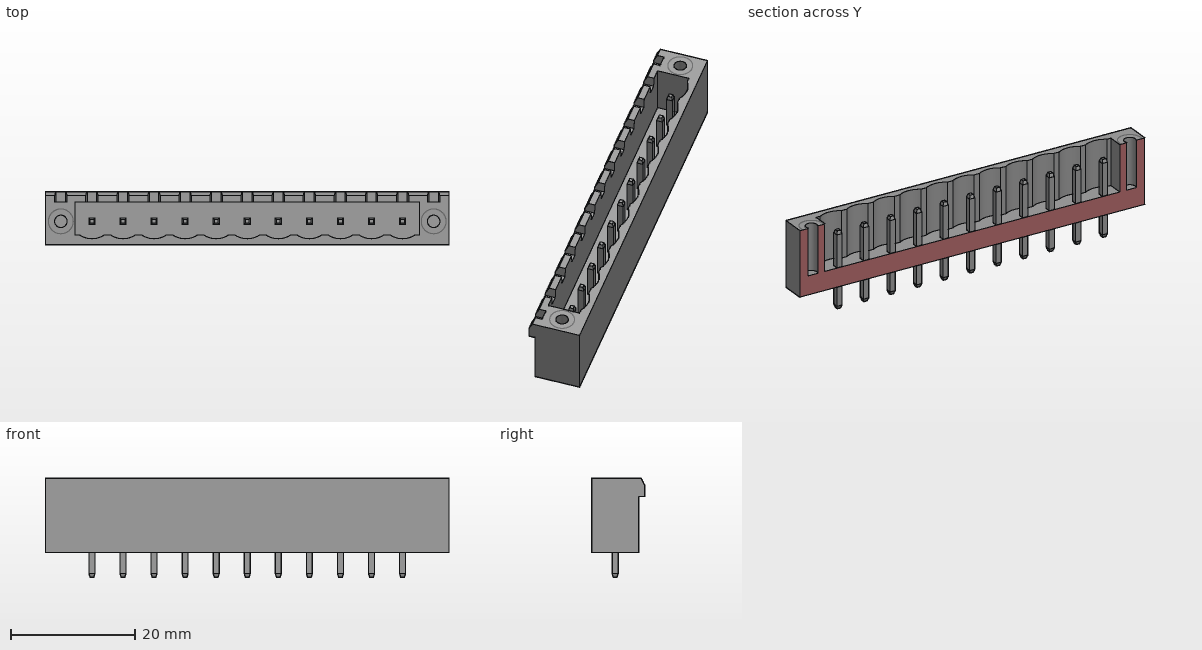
import cadquery as cq

LENGTH = 65.0
DEPTH = 7.6
HEIGHT = 12.0
FRONT_Y = -DEPTH / 2
BACK_Y = DEPTH / 2

LIP_REACH = 1.0
LIP_HEIGHT = 3.0
LIP_BEVEL_Y = 0.6
LIP_BEVEL_Z = 1.2
LIP_Y = BACK_Y + LIP_REACH

PIN_COUNT = 11
PITCH = 5.0
PIN_SIZE = 1.0
PIN_TAIL = 4.0
PIN_TOP_DROP = 2.0
PIN_TIP_HEIGHT = 0.6
PIN_TIP_INSET = 0.2
PIN_XS = [(i - (PIN_COUNT - 1) / 2) * PITCH for i in range(PIN_COUNT)]

CAVITY_LENGTH = 55.5
CAVITY_DEPTH = 8.5
BACK_WALL = 0.7
FRONT_WALL = 1.6
SCALLOP_WIDTH = 4.0
SCALLOP_DEPTH = 0.6
CAVITY_BACK_Y = BACK_Y - BACK_WALL
CAVITY_FRONT_Y = FRONT_Y + FRONT_WALL
CAVITY_FLOOR_Z = HEIGHT - CAVITY_DEPTH

INSERT_XS = [PIN_XS[0] - PITCH, PIN_XS[-1] + PITCH]
INSERT_DIAMETER = 4.0
SCREW_HOLE_DIAMETER = 2.0
INSERT_DEPTH = CAVITY_DEPTH

SLOT_TOP_WIDTH = 2.0
SLOT_FLOOR_WIDTH = 1.5
SLOT_DEPTH = 1.6


def make_housing():
    """Block and bevelled lip as one profile extruded along X."""
    profile = [
        (FRONT_Y, 0),
        (BACK_Y, 0),
        (BACK_Y, HEIGHT - LIP_HEIGHT),
        (LIP_Y, HEIGHT - LIP_HEIGHT),
        (LIP_Y, HEIGHT - LIP_BEVEL_Z),
        (LIP_Y - LIP_BEVEL_Y, HEIGHT),
        (FRONT_Y, HEIGHT),
    ]
    return cq.Workplane("YZ").polyline(profile).close().extrude(LENGTH / 2, both=True)


def make_cavity():
    """Cavity volume: a rectangle whose front edge bulges out in an arc at each contact."""
    half_length = CAVITY_LENGTH / 2
    outline = (
        cq.Workplane("XY", origin=(0, 0, CAVITY_FLOOR_Z))
        .moveTo(half_length, CAVITY_BACK_Y)
        .lineTo(-half_length, CAVITY_BACK_Y)
        .lineTo(-half_length, CAVITY_FRONT_Y)
    )
    for x in PIN_XS:
        outline = outline.lineTo(x - SCALLOP_WIDTH / 2, CAVITY_FRONT_Y).threePointArc(
            (x, CAVITY_FRONT_Y - SCALLOP_DEPTH),
            (x + SCALLOP_WIDTH / 2, CAVITY_FRONT_Y),
        )
    return outline.lineTo(half_length, CAVITY_FRONT_Y).close().extrude(CAVITY_DEPTH)


def make_slot(x):
    """Slot volume, narrowing downwards, from the cavity's back face out past the lip."""
    floor_z = HEIGHT - SLOT_DEPTH
    profile = [
        (x - SLOT_TOP_WIDTH / 2, HEIGHT),
        (x - SLOT_FLOOR_WIDTH / 2, floor_z),
        (x + SLOT_FLOOR_WIDTH / 2, floor_z),
        (x + SLOT_TOP_WIDTH / 2, HEIGHT),
    ]
    plane = cq.Workplane("XZ", origin=(0, CAVITY_BACK_Y, 0))
    return plane.polyline(profile).close().extrude(CAVITY_BACK_Y - LIP_Y)


def make_pin_tip(x, shoulder_z, height):
    """Pyramid frustum on the shaft end at shoulder_z; a negative height points it down."""
    tip_size = PIN_SIZE - 2 * PIN_TIP_INSET
    return (
        cq.Workplane("XY", origin=(x, 0, shoulder_z))
        .rect(PIN_SIZE, PIN_SIZE)
        .workplane(offset=height)
        .rect(tip_size, tip_size)
        .loft(ruled=True)
    )


def make_pin(x):
    """Square contact tapered at both ends, from inside the cavity down through the floor."""
    lower_z = PIN_TIP_HEIGHT - PIN_TAIL
    upper_z = HEIGHT - PIN_TOP_DROP - PIN_TIP_HEIGHT
    shaft = cq.Workplane("XY", origin=(x, 0, lower_z)).rect(PIN_SIZE, PIN_SIZE).extrude(upper_z - lower_z)
    lower_tip = make_pin_tip(x, lower_z, -PIN_TIP_HEIGHT)
    upper_tip = make_pin_tip(x, upper_z, PIN_TIP_HEIGHT)
    return shaft.union(lower_tip).union(upper_tip)


def make_cylinder(x, diameter):
    """Cylinder sunk from the housing top to the insert depth."""
    return cq.Workplane("XY", origin=(x, 0, HEIGHT)).circle(diameter / 2).extrude(-INSERT_DEPTH)


result = make_housing().cut(make_cavity())

for slot_x in PIN_XS + INSERT_XS:
    result = result.cut(make_slot(slot_x))

for pin_x in PIN_XS:
    result = result.union(make_pin(pin_x))

for insert_x in INSERT_XS:
    bore = make_cylinder(insert_x, INSERT_DIAMETER)
    sleeve = bore.cut(make_cylinder(insert_x, SCREW_HOLE_DIAMETER))
    result = result.cut(bore, clean=False).union(sleeve, clean=False)